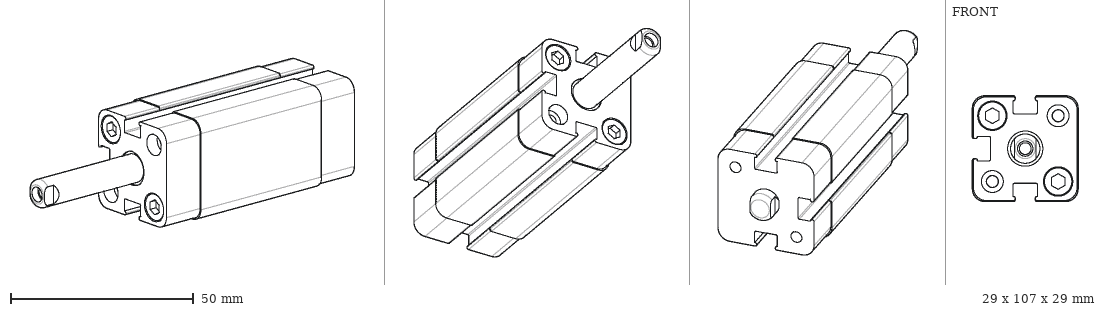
import cadquery as cq
import math

TOTAL_LENGTH = 107.0
TUBE_SIDE = 29.0
CAP_SIDE = 28.4
CORNER_RADIUS = 3.5
BODY_LENGTH = 68.2
CAP_LENGTH = 12.2
ROD_REAR_LENGTH = 4.3

SLOT_MOUTH = 5.5
SLOT_WIDTH = 6.6
SLOT_FLOOR = 9.5
LIP_INSIDE = 13.1
LIP_ROUND = 0.5
FLOOR_ROUND = 0.3

ROD_DIAMETER = 8.0
ROD_END_ROUND = 1.3
FLAT_WIDTH = 6.0
FLAT_LENGTH = 3.4
TAP_DIAMETER = 3.2
TAP_MOUTH_DIAMETER = 4.2
TAP_MOUTH_DEPTH = 2.1
TAP_DEPTH = 8.6
TAP_TIP_ANGLE = 118.0
GLAND_DIAMETER = 9.6
GLAND_DEPTH = 0.5

BOLT_OFFSET = 9.0
BORE_DIAMETER = 3.2
MOUNT_DIAMETER = 6.0
MOUNT_DEPTH = 3.7
HEAD_BORE_DIAMETER = 8.0
HEAD_DIAMETER = 7.5
HEAD_BORE_DEPTH = 4.3
HEAD_RECESS = 0.2
HEX_CORNERS = 4.3
HEX_DEPTH = 2.1

FRONT_FACE = 0.0
REAR_FACE = FRONT_FACE + BODY_LENGTH
ROD_REAR_END = REAR_FACE + ROD_REAR_LENGTH
ROD_FRONT_END = ROD_REAR_END - TOTAL_LENGTH


def plane_at(y):
    """XZ sketch plane at position y whose normal points to +Y; local x is -X, local y is +Z."""
    return cq.Workplane(cq.Plane(origin=(0, y, 0), xDir=(-1, 0, 0), normal=(0, 1, 0)))


def cylinder(diameter, y, length, x=0.0, z=0.0):
    return plane_at(y).center(-x, z).circle(diameter / 2).extrude(length)


def rounded_corner(outline, start, corner, end):
    """Line to start, then a quarter circle to end that is tangent to the two sides meeting at corner."""
    reach = math.cos(math.radians(45))
    middle = tuple(s + e - c + reach * (2 * c - s - e) for s, c, e in zip(start, corner, end))
    return outline.lineTo(*start).threePointArc(middle, end)


def slot_cutter(side, y, length):
    """Undercut slot opening toward +Z, with rounded floor corners and rounded lips."""
    mouth = SLOT_MOUTH / 2
    wall = SLOT_WIDTH / 2
    surface = side / 2
    lip_start = mouth + LIP_ROUND
    half = plane_at(y).moveTo(0, SLOT_FLOOR)
    half = rounded_corner(
        half, (wall - FLOOR_ROUND, SLOT_FLOOR), (wall, SLOT_FLOOR), (wall, SLOT_FLOOR + FLOOR_ROUND)
    )
    half = half.lineTo(wall, LIP_INSIDE)
    half = rounded_corner(
        half, (lip_start, LIP_INSIDE), (mouth, LIP_INSIDE), (mouth, LIP_INSIDE + LIP_ROUND)
    )
    half = rounded_corner(
        half, (mouth, surface - LIP_ROUND), (mouth, surface), (lip_start, surface)
    )
    half = half.lineTo(0, surface).close().extrude(length)
    return half.union(half.mirror("YZ"))


def body_section(side, y, length):
    """Rounded square length of the body with slots on the top, left and bottom sides."""
    section = plane_at(y).rect(side, side).extrude(length).edges("|Y").fillet(CORNER_RADIUS)
    cutter = slot_cutter(side, y, length)
    for angle in (0, -90, 180):
        section = section.cut(cutter.rotate((0, 0, 0), (0, 1, 0), angle))
    return section


def make_body():
    tube_start = FRONT_FACE + CAP_LENGTH
    tube_end = REAR_FACE - CAP_LENGTH
    front_cap = body_section(CAP_SIDE, FRONT_FACE, CAP_LENGTH)
    tube = body_section(TUBE_SIDE, tube_start, tube_end - tube_start)
    rear_cap = body_section(CAP_SIDE, tube_end, CAP_LENGTH)
    body = front_cap.union(tube).union(rear_cap)
    return body.cut(cylinder(GLAND_DIAMETER, FRONT_FACE, GLAND_DEPTH))


def cut_mounting_hole(body, x, z):
    """Counterbored hole passing through the whole body."""
    body = body.cut(cylinder(BORE_DIAMETER, FRONT_FACE, BODY_LENGTH, x, z))
    return body.cut(cylinder(MOUNT_DIAMETER, FRONT_FACE, MOUNT_DEPTH, x, z))


def add_socket_screw(body, x, z):
    """Socket head screw seated in its counterbore."""
    body = body.cut(cylinder(HEAD_BORE_DIAMETER, FRONT_FACE, HEAD_BORE_DEPTH, x, z))
    head_face = FRONT_FACE + HEAD_RECESS
    head = cylinder(HEAD_DIAMETER, head_face, HEAD_BORE_DEPTH - HEAD_RECESS, x, z)
    socket = (
        plane_at(head_face)
        .center(-x, z)
        .transformed(rotate=(0, 0, 90))
        .polygon(6, HEX_CORNERS)
        .extrude(HEX_DEPTH)
    )
    return body.union(head.cut(socket))


def flat_cutter(rod_end, inward):
    """Cutter for the +X wrench flat; inward is the Y direction from the rod end into the rod."""
    flat = FLAT_WIDTH / 2
    beyond = ROD_DIAMETER
    flat_end = rod_end + inward * FLAT_LENGTH
    ramp_end = flat_end + inward * (beyond - flat)
    return (
        cq.Workplane("XY")
        .moveTo(flat, rod_end)
        .lineTo(flat, flat_end)
        .lineTo(beyond, ramp_end)
        .lineTo(beyond, rod_end)
        .close()
        .extrude(ROD_DIAMETER, both=True)
    )


def make_tap():
    """Hole in the front end of the rod: wider mouth, drilled bore and conical tip."""
    tap = TAP_DIAMETER / 2
    tip = tap / math.tan(math.radians(TAP_TIP_ANGLE / 2))
    mouth = TAP_MOUTH_DIAMETER / 2
    return (
        cq.Workplane("XY")
        .moveTo(0, ROD_FRONT_END)
        .lineTo(mouth, ROD_FRONT_END)
        .lineTo(mouth, ROD_FRONT_END + TAP_MOUTH_DEPTH)
        .lineTo(tap, ROD_FRONT_END + TAP_MOUTH_DEPTH)
        .lineTo(tap, ROD_FRONT_END + TAP_DEPTH)
        .lineTo(0, ROD_FRONT_END + TAP_DEPTH + tip)
        .close()
        .revolve(360, (0, 0, 0), (0, 1, 0))
    )


def make_rod():
    rod = cylinder(ROD_DIAMETER, ROD_FRONT_END, TOTAL_LENGTH).edges().fillet(ROD_END_ROUND)
    for rod_end, inward in ((ROD_FRONT_END, 1), (ROD_REAR_END, -1)):
        cutter = flat_cutter(rod_end, inward)
        rod = rod.cut(cutter).cut(cutter.mirror("YZ"))
    return rod.cut(make_tap())


body = make_body()
for side in (1, -1):
    body = cut_mounting_hole(body, side * BOLT_OFFSET, side * BOLT_OFFSET)
    body = add_socket_screw(body, -side * BOLT_OFFSET, side * BOLT_OFFSET)

result = body.union(make_rod())